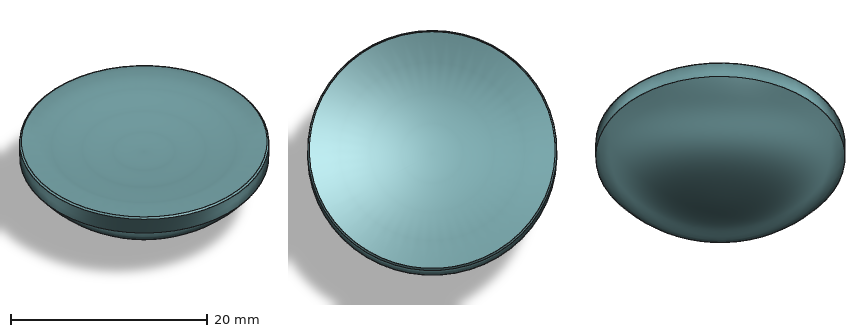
import cadquery as cq

diameter = 25.4
height = 8.59
rim_height = 1.95
rim_chamfer = 0.18
concave_depth = 1.4

radius = diameter / 2
concave_edge_radius = radius - rim_chamfer
rim_bottom = height - rim_height


def sphere_radius(edge_radius, sag):
    """Radius of a spherical cap with the given edge radius and depth."""
    return (edge_radius**2 + sag**2) / (2 * sag)


convex_radius = sphere_radius(radius, rim_bottom)
concave_radius = sphere_radius(concave_edge_radius, concave_depth)

half_section = (
    cq.Workplane("XZ")
    .moveTo(0, 0)
    .radiusArc((-radius, rim_bottom), convex_radius)
    .lineTo(-radius, height - rim_chamfer)
    .lineTo(-concave_edge_radius, height)
    .radiusArc((0, height - concave_depth), -concave_radius)
    .close()
)

result = half_section.revolve(360, (0, 0, 0), (0, 1, 0))